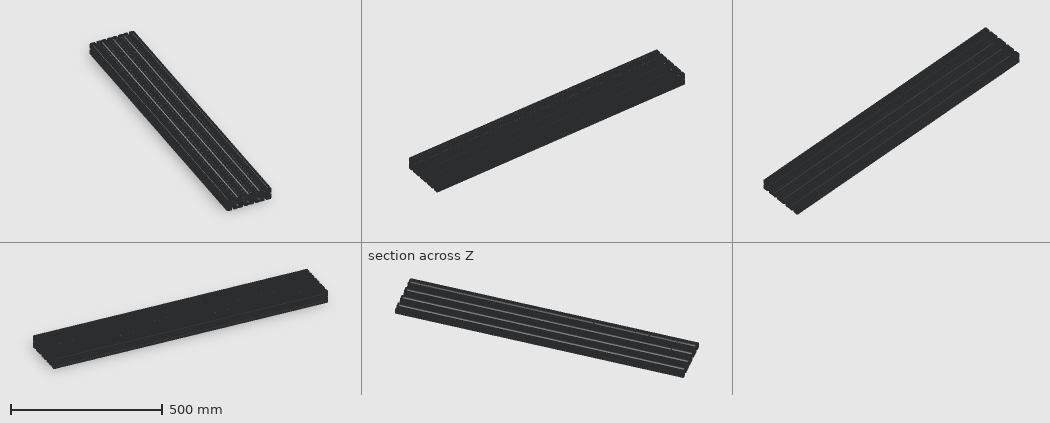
import cadquery as cq
import math

length = 1000.0
module = 40.0
module_count = 4
width = module * module_count
face = module / 2
corner_radius = 3.0

mouth_width = 10.0
mouth_rebate = 0.8
lip_thickness = 6.0
slot_width = 20.0
slot_depth = 12.5

strut_thickness = 2.0
strut_offset = strut_thickness / math.sqrt(2)
floor_half = face - slot_depth - strut_offset
shoulder_height = slot_width / 2 + strut_offset

bore_diameter = 11.0

skin_thickness = 4.5
cavity_top_width = 14.0
cavity_neck_depth = 8.0
cavity_waist_width = 24.0
cavity_waist_height = 14.0

recess_width = 12.0
recess_depth = 1.0

corner_wall = 2.0
corner_hollow_leg = 8.5

module_centres = [(i - (module_count - 1) / 2) * module for i in range(module_count)]
cavity_centres = [(a + b) / 2 for a, b in zip(module_centres, module_centres[1:])]


def extrude_outline(points):
    """Prism along the whole bar from a closed (y, z) outline."""
    return cq.Workplane("YZ", origin=(-length / 2, 0, 0)).polyline(points).close().extrude(length)


def mirror_in_y(points):
    """The outline points followed by their reflections, in order around the outline."""
    return points + [(-y, z) for y, z in reversed(points)]


def slot_cutter():
    """T-slot with a rebated mouth, open at the +Z face of a module centred on the X axis."""
    mouth_half = mouth_width / 2
    slot_half = slot_width / 2
    lip_height = face - lip_thickness
    right_side = [
        (mouth_half + mouth_rebate, face),
        (mouth_half + mouth_rebate, face - mouth_rebate),
        (mouth_half, face - mouth_rebate),
        (mouth_half, lip_height),
        (slot_half, lip_height),
        (slot_half, shoulder_height),
        (floor_half, face - slot_depth),
    ]
    return extrude_outline(mirror_in_y(right_side))


def cavity_cutter():
    """Cavity centred on the X axis, with a narrow neck above and below its waist."""
    neck_half = cavity_top_width / 2
    right_side = [
        (cavity_waist_width / 2, cavity_waist_height / 2),
        (neck_half, face - cavity_neck_depth),
        (neck_half, face - skin_thickness),
    ]
    upper = mirror_in_y(right_side)
    lower = [(-y, -z) for y, z in upper]
    return extrude_outline(upper + lower)


def corner_hollow_cutter(y_sign, z_sign):
    """Right-angled triangular prism set inside one corner of the bar."""
    y_outer = width / 2 - corner_wall
    z_outer = face - corner_wall
    triangle = [
        (y_outer, z_outer),
        (y_outer - corner_hollow_leg, z_outer),
        (y_outer, z_outer - corner_hollow_leg),
    ]
    return extrude_outline([(y_sign * y, z_sign * z) for y, z in triangle])


result = cq.Workplane("XY").box(length, width, module).edges("|X").fillet(corner_radius)

slot_places = [(centre, angle) for centre in module_centres for angle in (0, 180)]
slot_places += [(module_centres[0], 90), (module_centres[-1], -90)]
slot = slot_cutter()
for centre, angle in slot_places:
    result = result.cut(slot.rotate((0, 0, 0), (1, 0, 0), angle).translate((0, centre, 0)))

cavity = cavity_cutter()
recess = cq.Workplane("XY").box(length, recess_width, 2 * recess_depth)
for centre in cavity_centres:
    result = result.cut(cavity.translate((0, centre, 0)))
    for z_face in (-face, face):
        result = result.cut(recess.translate((0, centre, z_face)))

bore = cq.Workplane("YZ", origin=(-length / 2, 0, 0)).circle(bore_diameter / 2).extrude(length)
for centre in module_centres:
    result = result.cut(bore.translate((0, centre, 0)))

for y_sign in (-1, 1):
    for z_sign in (-1, 1):
        result = result.cut(corner_hollow_cutter(y_sign, z_sign))